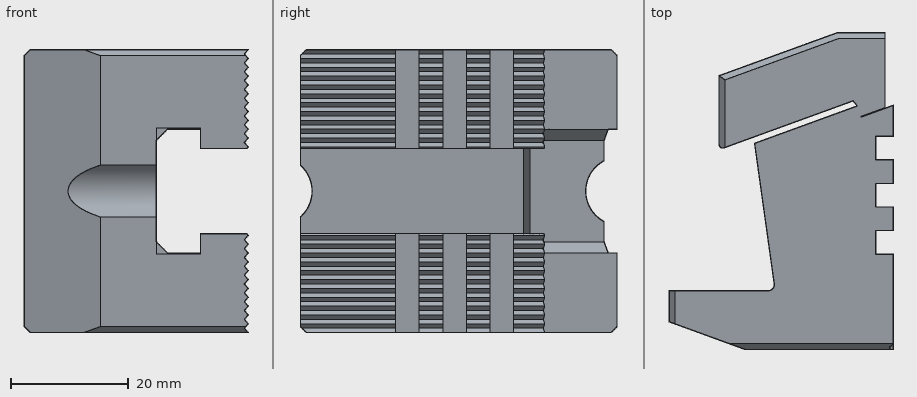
import cadquery as cq
import math

width = 38.0
length = 53.75
height = 48.0
half_height = height / 2

slant = math.tan(math.radians(20))
nose_run = 12.9
foot_top = 10.0
flank_foot_x = 17.95
flank_top_x = 14.45
flank_top_y = 35.0
foot_fillet = 1.0
jaw_left = 8.45
jaw_right = 36.6
jaw_shoulder_x = 28.5
jaw_tip_fillet = 0.65
edge_chamfer = 1.0

open_slit_width = 1.0
open_slit_x = 31.2
open_slit_end_run = 0.7
closed_slit_width = 0.05
closed_slit_x = 32.5
closed_slit_top = 41.45

slot_left = 22.4
slot_step_x = 29.9
slot_half_height = 10.7
jaw_slot_half_height = 10.5
neck_half_height = 7.2
slot_corner_chamfer = 1.9

scallop_radius = 5.85
front_scallop_depth = 2.0
back_scallop_depth = 5.3

notch_depth = 2.95
notch_width = 4.0
notch_pitch = 8.0
notch_first_y = 16.2
notch_count = 3
serration_count = 32
serration_pitch = height / serration_count
serration_depth = 0.65

nose_top = nose_run * slant
slit_rise = open_slit_width * math.sqrt(1 + slant**2)


def slit_lower(x):
    """Y of the lower side of the open slit."""
    return flank_top_y + (x - flank_top_x) * slant


def slit_upper(x):
    """Y of the upper side of the open slit."""
    return slit_lower(x) + slit_rise


def slit_middle(x):
    """Y of the centreline of the open slit."""
    return slit_lower(x) + slit_rise / 2


def closed_slit(x):
    """Y of the lower side of the nearly closed slit."""
    return closed_slit_top - (width - x) * slant


def prism(points):
    """Full-height prism over an XY outline."""
    return cq.Workplane("XY").polyline(points).close().extrude(half_height, both=True)


def vertical_edge(x, y):
    """Selector for the upright edge at (x, y)."""
    return cq.selectors.NearestToPointSelector((x, y, 0))


def make_body():
    slit_end_x = open_slit_x + open_slit_end_run
    jaw_back_y = length - (jaw_shoulder_x - jaw_left) * slant
    body = prism([
        (nose_run, 0),
        (width, 0),
        (width, closed_slit(width)),
        (closed_slit_x, closed_slit(closed_slit_x)),
        (closed_slit_x, closed_slit(closed_slit_x) + closed_slit_width),
        (jaw_right, closed_slit(jaw_right) + closed_slit_width),
        (jaw_right, length),
        (jaw_shoulder_x, length),
        (jaw_left, jaw_back_y),
        (jaw_left, slit_upper(jaw_left)),
        (open_slit_x, slit_upper(open_slit_x)),
        (slit_end_x, slit_lower(slit_end_x)),
        (flank_top_x, flank_top_y),
        (flank_foot_x, foot_top),
        (0, foot_top),
        (0, nose_top),
    ])
    chamfered_sides = [
        ((nose_run + width) / 2, 0),
        (0, (foot_top + nose_top) / 2),
        (jaw_left, (jaw_back_y + slit_upper(jaw_left)) / 2),
        ((jaw_left + jaw_shoulder_x) / 2, (jaw_back_y + length) / 2),
        ((jaw_shoulder_x + jaw_right) / 2, length),
    ]
    ends = []
    for x, y in chamfered_sides:
        for z in (-half_height, half_height):
            ends += body.edges(cq.selectors.NearestToPointSelector((x, y, z))).vals()
    body = body.newObject(ends).chamfer(edge_chamfer)
    body = body.edges(vertical_edge(flank_foot_x, foot_top)).fillet(foot_fillet)
    return body.edges(vertical_edge(jaw_left, slit_upper(jaw_left))).fillet(jaw_tip_fillet)


def jaw_zone():
    """Everything on the jaw side of the two slits, from the slot floor outwards."""
    return prism([
        (slot_left, slit_middle(slot_left)),
        (open_slit_x, slit_middle(open_slit_x)),
        (closed_slit_x, closed_slit(closed_slit_x)),
        (width, closed_slit(width)),
        (width, length),
        (slot_left, length),
    ])


def slot_prism(half_outline):
    """Full-length cutter along Y from the upper half of a symmetric XZ outline."""
    lower_half = [(x, -z) for x, z in reversed(half_outline)]
    return cq.Workplane("XZ").polyline(half_outline + lower_half).close().extrude(-length)


def body_slot():
    outline = [
        (width, neck_half_height),
        (slot_step_x, neck_half_height),
        (slot_step_x, slot_half_height),
        (slot_left, slot_half_height),
    ]
    return slot_prism(outline).cut(jaw_zone())


def jaw_slot():
    outline = [
        (width, jaw_slot_half_height),
        (slot_left + slot_corner_chamfer, jaw_slot_half_height),
        (slot_left, jaw_slot_half_height - slot_corner_chamfer),
    ]
    return slot_prism(outline).intersect(jaw_zone())


def scallop(centre_y):
    return cq.Workplane("YZ").center(centre_y, 0).circle(scallop_radius).extrude(width)


def notch(start_y):
    corner = (width - notch_depth, start_y, -half_height)
    return cq.Workplane("XY").box(notch_depth, notch_width, height, centered=False).translate(corner)


def serrations():
    """V-grooves running along Y over the whole +X face."""
    points = [(width + serration_depth, -half_height), (width, -half_height)]
    for i in range(serration_count):
        z = -half_height + i * serration_pitch
        points.append((width - serration_depth, z + serration_pitch / 2))
        points.append((width, z + serration_pitch))
    points.append((width + serration_depth, half_height))
    return cq.Workplane("XZ").polyline(points).close().extrude(-length)


result = make_body()
result = result.cut(body_slot())
result = result.cut(jaw_slot())
result = result.cut(scallop(front_scallop_depth - scallop_radius))
result = result.cut(scallop(length - back_scallop_depth + scallop_radius))
for i in range(notch_count):
    result = result.cut(notch(notch_first_y + i * notch_pitch))
result = result.cut(serrations())